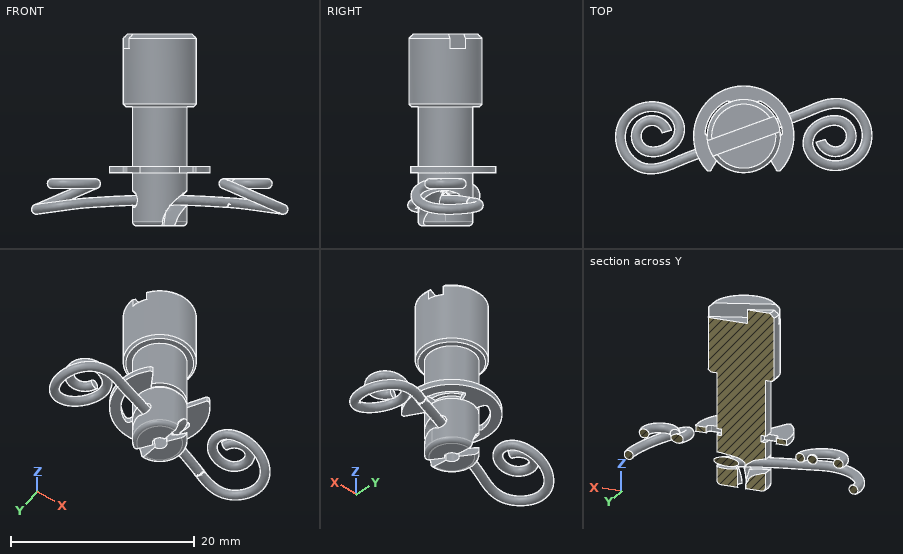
import cadquery as cq
import math

HEIGHT = 21.0
HEAD_RADIUS = 4.0
HEAD_HEIGHT = 7.99
HEAD_TOP_CHAMFER = 0.5
HEAD_BOTTOM_CHAMFER = 0.3
SHANK_RADIUS = 3.0
SHANK_FOOT_FILLET = 0.5
WIRE_ANGLE = 20
DRIVER_SLOT_WIDTH = 1.8
DRIVER_SLOT_DEPTH = 1.6

RING_RADIUS = 5.5
RING_SEAT_RADIUS = 2.5
RING_RELIEF_RADIUS = 4.23
RING_Z = 5.8
RING_THICKNESS = 0.7
RELIEF_START = 0
RELIEF_END = 69
RELIEF_FILLET = 0.4
MOUTH_Y = -3.8
MOUTH_TIP_X = 3.61
MOUTH_SEAT_X = 2.15
MOUTH_SEAT_Y = -1.3
TIP_FILLET = 0.15

WIRE_RADIUS = 1.1 / 2
WIRE_MIDDLE_Z = 2.83
COIL_START_Z = 2.45
COIL_LOW_Z = 1.82
COIL_TOP_Z = 4.62
COIL_CENTRE_X = 10.03
COIL_REACH = 14 - WIRE_RADIUS - COIL_CENTRE_X
COIL_TOP_Y = 3.61
COIL_BOTTOM_Y = -3.22
COIL_LEFT_X = 7.0
COIL_LEFT_Y = -0.75
COIL_START_ANGLE = 90 + WIRE_ANGLE
EYE_RADIUS = 1.7
EYE_END_ANGLE = -163
RUN_SHARES = (-0.8, -0.4, 0, 0.4, 0.8)
ARC_STEPS = 3

CAM_HALF_WIDTH = 1.6 / 2
CAM_PATH = [(-69, -0.28), (-66, 0.98), (-49, 2.15), (-9, 3.08), (WIRE_ANGLE, WIRE_MIDDLE_Z)]
CAM_INNER_RADIUS = 0.55
CAM_OUTER_RADIUS = SHANK_RADIUS + 0.28


def polar(radius, angle, z=0):
    turn = math.radians(angle)
    return cq.Vector(radius * math.cos(turn), radius * math.sin(turn), z)


def cylinder(radius, z, height):
    return cq.Workplane("XY").workplane(offset=z).circle(radius).extrude(height)


def cam_edges(side):
    """Inner and outer edge of one wall of the cam slot; side is +1 above and -1 below."""
    wall = []
    last = len(CAM_PATH) - 1
    for i, (angle, z) in enumerate(CAM_PATH):
        before = CAM_PATH[max(i - 1, 0)]
        after = CAM_PATH[min(i + 1, last)]
        run = math.radians(after[0] - before[0]) * SHANK_RADIUS
        rise = after[1] - before[1]
        reach = side * CAM_HALF_WIDTH / math.hypot(run, rise)
        wall.append((angle - math.degrees(reach * rise / SHANK_RADIUS), z + reach * run))
    return [
        cq.Edge.makeSpline([polar(radius, angle, z) for angle, z in wall])
        for radius in (CAM_INNER_RADIUS, CAM_OUTER_RADIUS)
    ]


def cam_slot():
    """Curved cutter whose walls run straight in towards the stud axis."""
    upper_inner, upper_outer = cam_edges(1)
    lower_inner, lower_outer = cam_edges(-1)
    loops = [
        (upper_inner, upper_outer),
        (lower_inner, lower_outer),
        (upper_inner, lower_inner),
        (upper_outer, lower_outer),
    ]
    faces = [cq.Face.makeRuledSurface(a, b) for a, b in loops]
    for position in (0, 1):
        corners = [
            edge.positionAt(position) for edge in (upper_inner, upper_outer, lower_outer, lower_inner)
        ]
        sides = [
            cq.Edge.makeLine(corners[i - 1], corners[i]) for i in range(len(corners))
        ]
        faces.append(cq.Face.makeNSidedSurface(sides, []))
    return cq.Workplane(cq.Solid.makeSolid(cq.Shell.makeShell(faces).fix()).fix())


def make_stud():
    head_z = HEIGHT - HEAD_HEIGHT
    head = cylinder(HEAD_RADIUS, head_z, HEAD_HEIGHT)
    head = head.faces(">Z").chamfer(HEAD_TOP_CHAMFER).faces("<Z").chamfer(HEAD_BOTTOM_CHAMFER)
    driver_slot = (
        cq.Workplane("XY", origin=(0, 0, HEIGHT - DRIVER_SLOT_DEPTH))
        .rect(3 * HEAD_RADIUS, DRIVER_SLOT_WIDTH)
        .extrude(2 * DRIVER_SLOT_DEPTH)
        .rotate((0, 0, 0), (0, 0, 1), WIRE_ANGLE)
    )
    shank = cylinder(SHANK_RADIUS, 0, head_z).faces("<Z").edges().fillet(SHANK_FOOT_FILLET)
    groove = cylinder(2 * SHANK_RADIUS, RING_Z, RING_THICKNESS).cut(
        cylinder(RING_SEAT_RADIUS, RING_Z, RING_THICKNESS)
    )
    stud = shank.union(head).cut(driver_slot).cut(groove)

    stud = stud.cut(cylinder(CAM_HALF_WIDTH, 0, WIRE_MIDDLE_Z))
    cross_hole = cq.Solid.makeCylinder(
        CAM_HALF_WIDTH,
        2 * CAM_OUTER_RADIUS,
        polar(-CAM_OUTER_RADIUS, WIRE_ANGLE, WIRE_MIDDLE_Z),
        polar(1, WIRE_ANGLE),
    )
    stud = stud.cut(cq.Workplane(cross_hole))
    for turn in (0, 180):
        stud = stud.cut(cam_slot().rotate((0, 0, 0), (0, 0, 1), turn))
    return stud


def ring_relief():
    """Gap between the ring and the shank, on the +X side."""
    middle = (RELIEF_START + RELIEF_END) / 2
    corners = [
        polar(radius, angle).toTuple()[:2]
        for radius, angle in (
            (RING_SEAT_RADIUS - 0.28, RELIEF_START),
            (RING_RELIEF_RADIUS, RELIEF_START),
            (RING_RELIEF_RADIUS, middle),
            (RING_RELIEF_RADIUS, RELIEF_END),
            (RING_SEAT_RADIUS - 0.28, RELIEF_END),
        )
    ]
    relief = (
        cq.Workplane("XY", origin=(0, 0, RING_Z))
        .moveTo(*corners[0])
        .lineTo(*corners[1])
        .threePointArc(corners[2], corners[3])
        .lineTo(*corners[4])
        .close()
        .extrude(RING_THICKNESS)
    )
    return relief.faces("%CYLINDER").edges("|Z").fillet(RELIEF_FILLET)


def make_ring():
    ring = cylinder(RING_RADIUS, RING_Z, RING_THICKNESS).cut(
        cylinder(RING_SEAT_RADIUS, RING_Z, RING_THICKNESS)
    )
    relief = ring_relief()
    ring = ring.cut(relief).cut(relief.mirror("YZ"))
    mouth = (
        cq.Workplane("XY", origin=(0, 0, RING_Z))
        .polyline(
            [
                (0, 0),
                (MOUTH_SEAT_X, MOUTH_SEAT_Y),
                (MOUTH_TIP_X, MOUTH_Y),
                (RING_RADIUS, MOUTH_Y),
                (RING_RADIUS, -RING_RADIUS),
                (-RING_RADIUS, -RING_RADIUS),
                (-RING_RADIUS, MOUTH_Y),
                (-MOUTH_TIP_X, MOUTH_Y),
                (-MOUTH_SEAT_X, MOUTH_SEAT_Y),
            ]
        )
        .close()
        .extrude(RING_THICKNESS)
    )
    ring = ring.cut(mouth)
    return ring.faces("<Y").edges("|Z").fillet(TIP_FILLET)


def coil_arc(centre_y, radius_x, radius_y, angles, heights):
    """Points on an elliptic arc after its first point; the height changes evenly along X."""
    first, last = [math.radians(angle) for angle in angles]
    points = []
    for step in range(1, ARC_STEPS + 1):
        turn = first + (last - first) * step / ARC_STEPS
        share = step / ARC_STEPS
        if heights[0] != heights[1]:
            share = (math.cos(turn) - math.cos(first)) / (math.cos(last) - math.cos(first))
        x = COIL_CENTRE_X + radius_x * math.cos(turn)
        y = centre_y + radius_y * math.sin(turn)
        points.append(cq.Vector(x, y, heights[0] + share * (heights[1] - heights[0])))
    return points


def coil_points():
    """Points of the +X coil, clockwise from the straight run to the free end."""
    left_reach = COIL_CENTRE_X - COIL_LEFT_X
    climb = (COIL_TOP_Z - COIL_LOW_Z) / (COIL_REACH + left_reach)
    bottom_z = COIL_LOW_Z + climb * COIL_REACH
    start_turn = math.radians(COIL_START_ANGLE)
    start = cq.Vector(
        COIL_CENTRE_X + COIL_REACH * math.cos(start_turn),
        COIL_TOP_Y * math.sin(start_turn),
        COIL_START_Z,
    )
    flat = (COIL_TOP_Z, COIL_TOP_Z)
    return [
        start,
        *coil_arc(0, COIL_REACH, COIL_TOP_Y, (COIL_START_ANGLE, 0), (COIL_START_Z, COIL_LOW_Z)),
        *coil_arc(0, COIL_REACH, -COIL_BOTTOM_Y, (0, -90), (COIL_LOW_Z, bottom_z)),
        *coil_arc(
            COIL_LEFT_Y, left_reach, COIL_LEFT_Y - COIL_BOTTOM_Y, (-90, -180), (bottom_z, COIL_TOP_Z)
        ),
        *coil_arc(COIL_LEFT_Y, left_reach, EYE_RADIUS - COIL_LEFT_Y, (180, 90), flat),
        *coil_arc(0, EYE_RADIUS, EYE_RADIUS, (90, 0), flat),
        *coil_arc(0, EYE_RADIUS, EYE_RADIUS, (0, -90), flat),
        *coil_arc(0, EYE_RADIUS, EYE_RADIUS, (-90, EYE_END_ANGLE), flat),
    ]


def make_wire():
    """One wire with a coil at each end, the -X coil being the +X coil turned half a turn about Z."""
    coil = coil_points()
    other_coil = [cq.Vector(-point.x, -point.y, point.z) for point in reversed(coil)]
    middle = cq.Vector(0, 0, WIRE_MIDDLE_Z)
    run = coil[0] - middle
    run_points = [
        middle + cq.Vector(share * run.x, share * run.y, share**2 * run.z) for share in RUN_SHARES
    ]
    path = cq.Edge.makeSpline(other_coil + run_points + coil)
    plane = cq.Plane(origin=path.startPoint(), normal=path.tangentAt(0))
    return cq.Workplane(plane).circle(WIRE_RADIUS).sweep(cq.Workplane(cq.Wire.assembleEdges([path])))


stud = make_stud()
ring = make_ring()
wire = make_wire()
result = cq.Compound.makeCompound([body.solids().val() for body in (stud, ring, wire)])